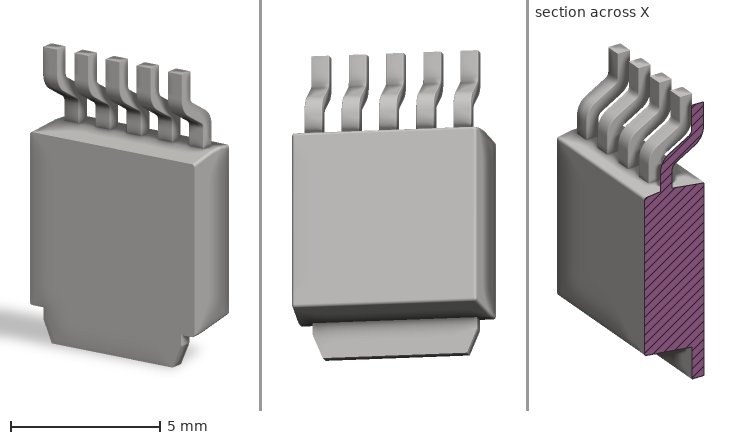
import cadquery as cq
import math

BODY_WIDTH = 6.7
BODY_DEPTH = 2.4
BODY_BOTTOM = 1.2
BODY_PEAK = 7.405
SIDE_DRAFT = 5.0
BOTTOM_DRAFT = 6.0
TOP_DRAFT = 7.0
EDGE_RADIUS = 0.1

TAB_THICKNESS = 0.5
TAB_HALF_WIDTH = 2.8
TAB_TIP_HALF_WIDTH = 2.46
TAB_KNEE = 0.8
PAD_HALF_WIDTH = 2.52
PAD_TOP = 4.385
NOTCH_RADIUS = 0.23
NOTCH_TIP_X = 2.02
SLOT_LENGTH = 2.9
SLOT_WIDTH = 0.62
SLOT_Z = 1.84

LEAD_COUNT = 5
LEAD_PITCH = 1.27
LEAD_WIDTH = 0.6
LEAD_THICKNESS = 0.5
LEAD_TIP_Z = 10.3
LEAD_EMBEDDED_LENGTH = 0.5
LEAD_EDGE_RADIUS = 0.03
LEAD_STANDOFF = 0.02
LEAD_STEP = 1.25
LEAD_STEP_MID_Z = 8.74
LEAD_BEND_ANGLE = 60.0
LEAD_BEND_RADIUS = 0.48

lead_tip_y = LEAD_STANDOFF + LEAD_THICKNESS / 2
lead_root_y = lead_tip_y + LEAD_STEP
lead_root_z = BODY_PEAK - LEAD_EMBEDDED_LENGTH


def slope(run, angle):
    """Rise of a face drafted by angle over a horizontal run."""
    return run * math.tan(math.radians(angle))


def make_body():
    """Drafted body whose top falls away on both sides of a flat strip over the lead roots."""
    ridge_front = lead_root_y - LEAD_THICKNESS / 2
    ridge_back = lead_root_y + LEAD_THICKNESS / 2
    side_profile = [
        (0, BODY_BOTTOM),
        (TAB_THICKNESS, BODY_BOTTOM),
        (BODY_DEPTH, BODY_BOTTOM + slope(BODY_DEPTH - TAB_THICKNESS, BOTTOM_DRAFT)),
        (BODY_DEPTH, BODY_PEAK - slope(BODY_DEPTH - ridge_back, TOP_DRAFT)),
        (ridge_back, BODY_PEAK),
        (ridge_front, BODY_PEAK),
        (0, BODY_PEAK - slope(ridge_front, TOP_DRAFT)),
    ]
    block = cq.Workplane("YZ").polyline(side_profile).close().extrude(BODY_WIDTH / 2, both=True)

    front_half = BODY_WIDTH / 2
    back_half = front_half - slope(BODY_DEPTH, SIDE_DRAFT)
    plan = [
        (-front_half, 0),
        (front_half, 0),
        (back_half, BODY_DEPTH),
        (-back_half, BODY_DEPTH),
    ]
    drafted_plan = cq.Workplane("XY").polyline(plan).close().extrude(LEAD_TIP_Z)
    body = block.intersect(drafted_plan)

    return body.faces("<X or >X or >Y").edges().edges("not(<Y)").fillet(EDGE_RADIUS)


def make_tab():
    """Tapered tab, necked by two round-ended notches and pierced by a slot that the body fills."""
    notch_top = BODY_BOTTOM + 2 * NOTCH_RADIUS
    notch_mid = BODY_BOTTOM + NOTCH_RADIUS
    notch_centre_x = NOTCH_TIP_X + NOTCH_RADIUS
    right_half = (
        cq.Workplane("XZ")
        .moveTo(0, 0)
        .lineTo(TAB_TIP_HALF_WIDTH, 0)
        .lineTo(TAB_HALF_WIDTH, TAB_KNEE)
        .lineTo(TAB_HALF_WIDTH, BODY_BOTTOM)
        .lineTo(notch_centre_x, BODY_BOTTOM)
        .threePointArc((NOTCH_TIP_X, notch_mid), (notch_centre_x, notch_top))
        .lineTo(PAD_HALF_WIDTH, notch_top)
        .lineTo(PAD_HALF_WIDTH, PAD_TOP)
        .lineTo(0, PAD_TOP)
        .close()
        .extrude(-TAB_THICKNESS)
    )
    slot = (
        cq.Workplane("XZ")
        .center(0, SLOT_Z)
        .slot2D(SLOT_LENGTH, SLOT_WIDTH)
        .extrude(-TAB_THICKNESS)
    )
    return right_half.union(right_half.mirror("YZ")).cut(slot)


def make_lead():
    """Centre lead: rises from the body, bends forward and bends back up to its tip."""
    bend = math.radians(LEAD_BEND_ANGLE)
    corner_rise = LEAD_STEP / math.tan(bend) / 2
    tangent = LEAD_BEND_RADIUS * math.tan(bend / 2)
    arc_start_rise = corner_rise + tangent
    arc_run = LEAD_BEND_RADIUS * (1 - math.cos(bend))
    arc_rise = LEAD_BEND_RADIUS * math.sin(bend)
    lower_start_z = LEAD_STEP_MID_Z - arc_start_rise
    upper_end_z = LEAD_STEP_MID_Z + arc_start_rise
    path = (
        cq.Workplane("YZ")
        .moveTo(lead_root_y, lead_root_z)
        .lineTo(lead_root_y, lower_start_z)
        .tangentArcPoint((lead_root_y - arc_run, lower_start_z + arc_rise), relative=False)
        .lineTo(lead_tip_y + arc_run, upper_end_z - arc_rise)
        .tangentArcPoint((lead_tip_y, upper_end_z), relative=False)
        .lineTo(lead_tip_y, LEAD_TIP_Z)
    )
    outline = cq.Sketch().rect(LEAD_WIDTH, LEAD_THICKNESS).vertices().fillet(LEAD_EDGE_RADIUS)
    section = cq.Workplane("XY", origin=(0, lead_root_y, lead_root_z)).placeSketch(outline)
    return section.sweep(path)


tab = make_tab()
result = make_body().cut(tab).union(tab, clean=False)
lead = make_lead()
for index in range(LEAD_COUNT):
    lead_x = (index - (LEAD_COUNT - 1) / 2) * LEAD_PITCH
    result = result.union(lead.translate((lead_x, 0, 0)), clean=False)